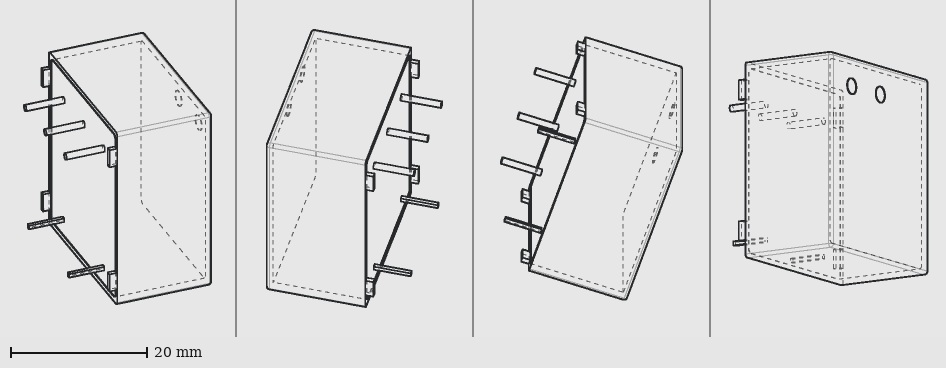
import cadquery as cq

width = 26.0
height = 29.2
depth = 15.1
edge_radius = 0.5
wall = 0.8
cavity_radius = 0.6

filling_recess = 0.1

foot_inset = 0.05
foot_width = 0.7
foot_height = 2.9
foot_length = 1.2
foot_top_z = 12.0
foot_pitch = 21.1

pin_spacing = 7.62
pad_diameter = 2.4
pad_height = 0.1
pad_z = 10.2
pad_xs = (0, pin_spacing)

round_pin_diameter = 1.0
round_pin_z = 9.15
round_pin_xs = (-pin_spacing, 0, pin_spacing)
round_pin_tip_y = -6.0

square_pin_side = 0.6
square_pin_z = -11.1
square_pin_xs = (-pin_spacing, pin_spacing)
square_pin_tip_y = -5.5


def plane_at(y):
    """XZ work plane at the given Y; a positive extrusion goes toward -Y."""
    return cq.Workplane("XZ", origin=(0, y, 0))


def cavity_block(front_y):
    """Rounded block from the given Y to the floor of the housing cavity."""
    floor_y = depth - wall
    block = plane_at(floor_y).rect(width - 2 * wall, height - 2 * wall).extrude(floor_y - front_y)
    return block.edges("|Y").fillet(cavity_radius)


def make_feet():
    foot_x = (width - foot_width) / 2 - foot_inset
    upper_z = foot_top_z - foot_height / 2
    foot_points = [(x, z) for x in (-foot_x, foot_x) for z in (upper_z, upper_z - foot_pitch)]
    return plane_at(0).pushPoints(foot_points).rect(foot_width, foot_height).extrude(foot_length)


def make_pads():
    pad_points = [(x, pad_z) for x in pad_xs]
    pad_plane = plane_at(depth + pad_height)
    return pad_plane.pushPoints(pad_points).circle(pad_diameter / 2).extrude(pad_height)


def make_housing():
    shell = plane_at(depth).rect(width, height).extrude(depth)
    shell = shell.edges("|Y or >Y").fillet(edge_radius)
    shell = shell.cut(cavity_block(0))
    return shell.union(make_feet()).union(make_pads())


def make_round_pin(x):
    """Round pin standing on the front face of the filling."""
    profile = plane_at(filling_recess).center(x, round_pin_z).circle(round_pin_diameter / 2)
    return profile.extrude(filling_recess - round_pin_tip_y)


def make_square_pin(x):
    """Square pin standing on the front face of the filling."""
    profile = plane_at(filling_recess).center(x, square_pin_z).rect(square_pin_side, square_pin_side)
    return profile.extrude(filling_recess - square_pin_tip_y)


housing = make_housing()
filling = cavity_block(filling_recess)
round_pins = [make_round_pin(x).val() for x in round_pin_xs]
square_pins = [make_square_pin(x).val() for x in square_pin_xs]

result = cq.Compound.makeCompound([housing.val(), filling.val(), *round_pins, *square_pins])